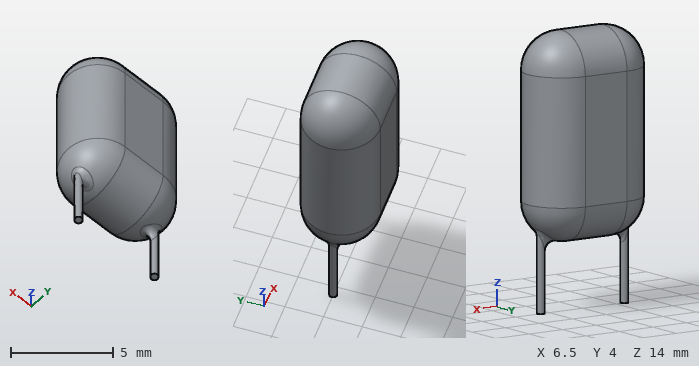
import cadquery as cq

overall_height = 14.0
body_width = 6.5
body_depth = 4.0
body_height = 10.5
lead_spacing = 5.0
lead_diameter = 0.4
lead_fillet = 0.5

body_radius = body_depth / 2
straight_width = body_width - body_depth
straight_height = body_height - body_depth
lead_length = overall_height - body_height
lower_center_z = body_radius
upper_center_z = lower_center_z + straight_height
fillet_reach = lead_diameter / 2 + lead_fillet


def rounded_end(x):
    """Vertical capsule that forms one narrow side of the body."""
    return (
        cq.Workplane("XZ")
        .moveTo(0, 0)
        .radiusArc((body_radius, lower_center_z), -body_radius)
        .lineTo(body_radius, upper_center_z)
        .radiusArc((0, body_height), -body_radius)
        .close()
        .revolve(360, (0, 0), (0, 1))
        .translate((x, 0, 0))
    )


def make_body():
    """Pill-shaped body with its lowest point at Z = 0."""
    middle = (
        cq.Workplane("YZ")
        .center(0, body_height / 2)
        .slot2D(body_height, body_depth, 90)
        .extrude(straight_width / 2, both=True)
    )
    left_end = rounded_end(-straight_width / 2)
    right_end = rounded_end(straight_width / 2)
    return middle.union(left_end).union(right_end)


def make_lead(x):
    """Round wire from its free tip up into the lower body."""
    return (
        cq.Workplane("XY", origin=(x, 0, -lead_length))
        .circle(lead_diameter / 2)
        .extrude(lead_length + lower_center_z)
    )


def blend_lead(part, x):
    """Fillet the edge where a lead enters the body."""
    joint = cq.selectors.BoxSelector(
        (x - fillet_reach, -fillet_reach, 0),
        (x + fillet_reach, fillet_reach, lower_center_z / 2),
        boundingbox=True,
    )
    return part.edges(joint).fillet(lead_fillet)


lead_positions = [-lead_spacing / 2, lead_spacing / 2]

result = make_body()
for lead_x in lead_positions:
    result = result.union(make_lead(lead_x))
for lead_x in lead_positions:
    result = blend_lead(result, lead_x)